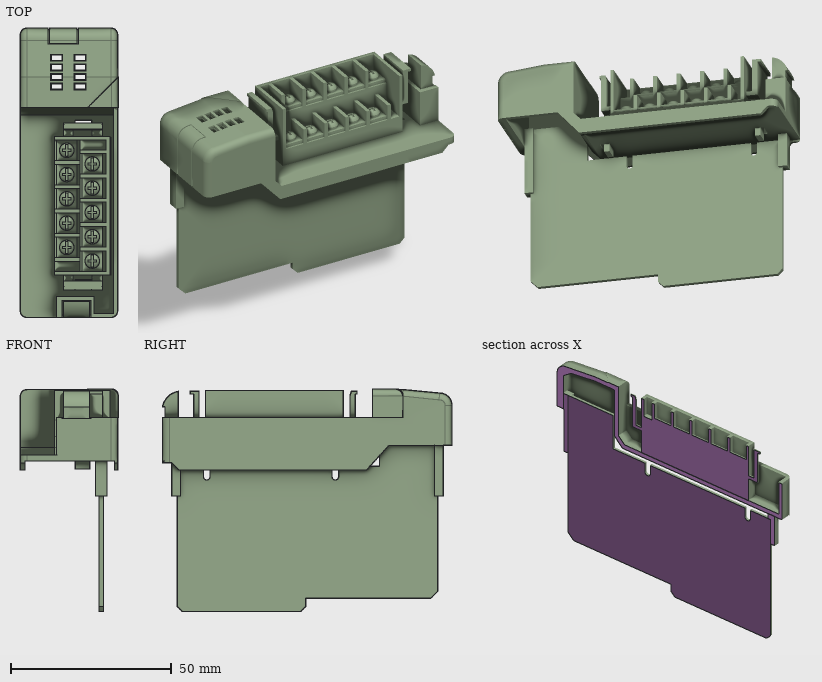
import cadquery as cq


WIDTH = 30.3
LENGTH = 90.0
CORNER_RADIUS = 2.2
FLOOR_THICKNESS = 1.8
LEFT_WALL = 1.5
RIGHT_WALL = 1.1
SKIRT_BOTTOM = -4.6
SKIRT_FRONT_BOTTOM = -2.3
SKIRT_FRONT = 2.9
SKIRT_CHAMFER = SKIRT_FRONT_BOTTOM - SKIRT_BOTTOM
SKIRT_REAR = 63.45

HOOD_FRONT = 65.25
HOOD_BOTTOM = 3.1
HOOD_SLOPE_FOOT = 70.4
HOOD_FOOT_CHAMFER = 2.3
ROOF_TOP = 20.4
ROOF_CREASE = 74.8
ROOF_REAR = 86.1
ROOF_REAR_TOP = 19.35
HOOD_REAR_RADIUS = LENGTH - ROOF_REAR
HOOD_WALL = 1.8
HOOD_REAR_WALL = 2.7

RIM_TOP = 11.8
RIM_THICKNESS = 1.35
LATCH_SEAT_LEFT = 11.3
LATCH_SEAT_RIGHT = 22.95
LATCH_SEAT_DEPTH = 6.6

WINDOW_COLUMNS = (11.3, 18.6)
WINDOW_ROWS = 4
WINDOW_PITCH = 3.0
WINDOW_FIRST_Y = ROOF_CREASE - WINDOW_PITCH
WINDOW_SIZE = (3.2, 1.6)
WINDOW_STEP = 0.3
WINDOW_STEP_Z = 19.1

TAB_LEFT = 8.7
TAB_RIGHT = 18.1
TAB_FRONT = 85.05
TAB_SIDE_GROOVE = 0.45
TAB_FRONT_GROOVE = 0.2
TAB_GROOVE_DEPTH = 0.45

PATCH_ON_ROOF = 0.2
PATCH_ON_SIDE = 0.2
PATCH_LEG = ROOF_CREASE - HOOD_FRONT

BLOCK_LEFT = 10.7
BLOCK_RIGHT = 28.0
BLOCK_FRONT = 13.3
BLOCK_REAR = 56.25
BLOCK_TOP = 20.2
BLOCK_WALL = 1.1
BLOCK_RIGHT_WALL = 1.3
ROW_SPLIT = 18.6
LOWER_DECK = 5.8
LOWER_DIVIDER_TOP = 10.9
UPPER_DECK = 13.9
TERMINALS = 5
DIVIDER = 1.2
SPARE_POCKET = 3.1
CELLS_FRONT = BLOCK_FRONT + BLOCK_WALL
CELLS_REAR = BLOCK_REAR - BLOCK_WALL
TERMINAL_PITCH = (CELLS_REAR - CELLS_FRONT - SPARE_POCKET) / TERMINALS
POCKET = TERMINAL_PITCH - DIVIDER

LEDGE_WIDTH = 0.3
LEDGE_HEIGHT = 7.9
LEDGE_SETBACK = 0.3

PLATE_THICKNESS = 1.1
LOWER_PLATE_LEFT = 11.3
UPPER_PLATE_LEFT = 19.3
PLATE_WIDTH = 6.3
SCREW_RADIUS = 2.25
SCREW_RIM = 0.8
SCREW_DOME = 1.35
SCREW_SLOT_WIDTH = 0.7
SCREW_SLOT_DEPTH = 0.8
SCREW_SHORT_SLOT = 2.7

CLIP_LEFT = 13.5
CLIP_RIGHT = 25.6
CLIP_TOP = 19.9
CLIP_LIP_HEIGHT = 0.9
CLIP_THICKNESS = 1.7
REAR_LIP_REACH = 0.5
FRONT_LIP_REACH = 1.1
CLIP_CHAMFER_WIDTH = 0.45
CLIP_CHAMFER_HEIGHT = 1.4
ARM_BOTTOM = 7.9
ARM_TOP = 9.3
ARM_NOTCH_LEFT = 16.5
ARM_NOTCH_RIGHT = 22.3
REAR_CLIP_INNER = 58.2
FRONT_CLIP_INNER = 11.4
LEG_LEFT = 17.1
LEG_RIGHT = 21.7
LEG_BOTTOM = -4.3
CLIP_SLOT_RIGHT = 22.2
CLIP_SLOT_LENGTH = 3.1
REAR_CLIP_SLOT_FRONT = REAR_CLIP_INNER
FRONT_CLIP_SLOT_FRONT = 8.6

BOARD_CENTRE_X = 25.2
BOARD_THICKNESS = 1.5
BOARD_FRONT = 4.6
BOARD_REAR = 85.6
BOARD_BOTTOM = -48.6
BOARD_REAR_BOTTOM = -44.5
BOARD_STEP_Y = 44.55
BOARD_CORNER = 1.6
BOARD_REAR_CORNER = 2.25
BOARD_TOP = -3.4
BOARD_TAB_TOP = 9.0
BOARD_TAB_FRONT = 67.4
BOARD_SLOTS = (13.8, 53.7)
BOARD_SLOT_WIDTH = 2.0
BOARD_SLOT_BOTTOM = -7.65

GUIDE_WIDTH = 3.7
GUIDE_DEPTH = 2.8
GUIDE_BOTTOM = -12.7
GUIDE_OVERHANG = 1.7

LATCH_LEFT = 13.4
LATCH_RIGHT = 21.6
LATCH_FRONT = 0.8
LATCH_REAR = 4.95
LATCH_TOP = 19.9
LATCH_LIP_BOTTOM = 15.0
LATCH_ARC_MIDDLE = (2.1, 18.5)
LATCH_GAP = 0.45
LATCH_NOTCH_DEPTH = 0.4


def box(x0, x1, y0, y1, z0, z1):
    return cq.Workplane("XY").box(x1 - x0, y1 - y0, z1 - z0, centered=False).translate((x0, y0, z0))


def side_profile(points, x0, x1):
    """Extrude a closed outline of (Y, Z) points from x0 to x1."""
    return cq.Workplane("YZ", origin=(x0, 0, 0)).polyline(points).close().extrude(x1 - x0)


def hood_profile(growth=0.0):
    """Side outline of the hood, grown outwards (or inwards, if negative) at the roof and rear end."""
    return (
        cq.Workplane("YZ")
        .moveTo(HOOD_FRONT, HOOD_BOTTOM)
        .lineTo(HOOD_FRONT, ROOF_TOP + growth)
        .lineTo(ROOF_CREASE, ROOF_TOP + growth)
        .lineTo(ROOF_REAR, ROOF_REAR_TOP + growth)
        .radiusArc((LENGTH + growth, ROOF_REAR_TOP - HOOD_REAR_RADIUS), HOOD_REAR_RADIUS + growth)
        .lineTo(LENGTH + growth, HOOD_BOTTOM)
        .close()
    )


def hood_solid(roof_growth=0.0, side_growth=0.0):
    """Hood with its roof and rear corners rounded along both sides, grown by the given amounts."""
    hood = hood_profile(roof_growth).extrude(WIDTH + side_growth)
    side_edges = hood.faces("<X or >X").edges("not (<Y or <Z)")
    return side_edges.fillet(CORNER_RADIUS)


def tray_solid():
    """Floor with its skirt, sloping up to the hood bottom at the rear."""
    return side_profile(
        [
            (0, 0),
            (HOOD_FRONT - HOOD_FOOT_CHAMFER, 0),
            (HOOD_FRONT, HOOD_FOOT_CHAMFER),
            (HOOD_FRONT, HOOD_BOTTOM),
            (HOOD_SLOPE_FOOT, HOOD_BOTTOM),
            (SKIRT_REAR, SKIRT_BOTTOM),
            (SKIRT_FRONT + SKIRT_CHAMFER, SKIRT_BOTTOM),
            (SKIRT_FRONT, SKIRT_FRONT_BOTTOM),
            (0, SKIRT_FRONT_BOTTOM),
        ],
        0,
        WIDTH,
    )


def rim_solid():
    """Right wall, front wall and the thick seat that holds the latch."""
    right_wall = box(WIDTH - RIM_THICKNESS, WIDTH, 0, HOOD_FRONT, 0, RIM_TOP)
    front_wall = box(LATCH_SEAT_LEFT, WIDTH, 0, RIM_THICKNESS, 0, RIM_TOP)
    seat = box(LATCH_SEAT_LEFT, LATCH_SEAT_RIGHT, 0, LATCH_SEAT_DEPTH, 0, RIM_TOP)
    return right_wall.union(front_wall).union(seat)


def housing_cavity():
    """Hollow under the floor and inside the hood, open at the bottom."""
    rear = LENGTH - HOOD_REAR_WALL
    return side_profile(
        [
            (0, SKIRT_BOTTOM),
            (0, -FLOOR_THICKNESS),
            (HOOD_FRONT - HOOD_FOOT_CHAMFER + HOOD_WALL / 2, -FLOOR_THICKNESS),
            (HOOD_FRONT + HOOD_WALL, HOOD_FOOT_CHAMFER - HOOD_WALL / 2),
            (HOOD_FRONT + HOOD_WALL, ROOF_TOP - HOOD_WALL),
            (ROOF_CREASE, ROOF_TOP - HOOD_WALL),
            (ROOF_REAR - HOOD_WALL, ROOF_REAR_TOP - HOOD_WALL),
            (rear, ROOF_REAR_TOP - HOOD_REAR_RADIUS),
            (rear, SKIRT_BOTTOM),
        ],
        LEFT_WALL,
        WIDTH - RIGHT_WALL,
    )


def indicator_windows():
    """Stepped openings through the hood roof."""
    centres = [
        (x, WINDOW_FIRST_Y + row * WINDOW_PITCH) for x in WINDOW_COLUMNS for row in range(WINDOW_ROWS)
    ]
    width, height = WINDOW_SIZE
    openings = cq.Workplane("XY").workplane(offset=RIM_TOP).pushPoints(centres)
    openings = openings.rect(width, height).extrude(ROOF_TOP - RIM_TOP)
    steps = cq.Workplane("XY").workplane(offset=WINDOW_STEP_Z).pushPoints(centres)
    steps = steps.rect(width + 2 * WINDOW_STEP, height + 2 * WINDOW_STEP).extrude(ROOF_TOP - WINDOW_STEP_Z)
    return openings.union(steps)


def tab_groove():
    """Shallow groove on three sides of the rear tab, following the roof and rear face."""
    outline = box(TAB_LEFT, TAB_RIGHT, TAB_FRONT, LENGTH, HOOD_BOTTOM, ROOF_TOP)
    tab = box(
        TAB_LEFT + TAB_SIDE_GROOVE,
        TAB_RIGHT - TAB_SIDE_GROOVE,
        TAB_FRONT + TAB_FRONT_GROOVE,
        LENGTH,
        HOOD_BOTTOM,
        ROOF_TOP,
    )
    core = hood_profile(-TAB_GROOVE_DEPTH).extrude(WIDTH)
    return outline.cut(tab).cut(core)


def corner_patch():
    """Thin triangular patch wrapped over the roof and right side of the hood."""
    right = WIDTH + PATCH_ON_SIDE
    triangle = (
        cq.Workplane("XY", origin=(0, 0, RIM_TOP))
        .polyline([(right - PATCH_LEG, HOOD_FRONT), (right, HOOD_FRONT), (right, ROOF_CREASE)])
        .close()
        .extrude(ROOF_TOP + PATCH_ON_ROOF - RIM_TOP)
    )
    return hood_solid(PATCH_ON_ROOF, PATCH_ON_SIDE).intersect(triangle).cut(hood_solid())


def clip_slot(front):
    return box(LEG_LEFT, CLIP_SLOT_RIGHT, front, front + CLIP_SLOT_LENGTH, -FLOOR_THICKNESS, 0)


def latch_well():
    """Well around the latch, with a shallow notch through the front wall under the latch lip."""
    left = LATCH_LEFT - LATCH_GAP
    right = LATCH_RIGHT + LATCH_GAP
    well = box(left, right, LATCH_FRONT, LATCH_REAR + LATCH_GAP, 0, RIM_TOP)
    notch = box(left, right, 0, LATCH_FRONT, RIM_TOP - LATCH_NOTCH_DEPTH, RIM_TOP)
    return well.union(notch)


def make_housing():
    footprint = box(0, WIDTH, 0, LENGTH, SKIRT_BOTTOM, RIM_TOP).edges("|Z and <Y").fillet(CORNER_RADIUS)
    housing = tray_solid().union(rim_solid()).intersect(footprint)
    housing = housing.union(hood_solid()).cut(housing_cavity())
    housing = housing.cut(indicator_windows()).cut(tab_groove()).union(corner_patch()).cut(latch_well())
    return housing.cut(clip_slot(REAR_CLIP_SLOT_FRONT)).cut(clip_slot(FRONT_CLIP_SLOT_FRONT))


def terminal_screw():
    """Domed screw head standing on Z = 0, with a cross recess."""
    height = SCREW_RIM + SCREW_DOME
    head = (
        cq.Workplane("XZ")
        .lineTo(SCREW_RADIUS, 0)
        .lineTo(SCREW_RADIUS, SCREW_RIM)
        .radiusArc((0, height), -(SCREW_RADIUS**2 + SCREW_DOME**2) / (2 * SCREW_DOME))
        .close()
        .revolve(360, (0, 0, 0), (0, 1, 0))
    )
    recess = cq.Workplane("XY").workplane(offset=height - SCREW_SLOT_DEPTH)
    long_slot = recess.rect(SCREW_SLOT_WIDTH, 2 * SCREW_RADIUS).extrude(SCREW_SLOT_DEPTH)
    short_slot = recess.rect(SCREW_SHORT_SLOT, SCREW_SLOT_WIDTH).extrude(SCREW_SLOT_DEPTH)
    return head.cut(long_slot).cut(short_slot)


def terminal(plate_left, front, deck):
    """Contact plate across one pocket, with its screw."""
    plate_top = deck + PLATE_THICKNESS
    plate = box(plate_left, plate_left + PLATE_WIDTH, front, front + POCKET, deck, plate_top)
    screw = terminal_screw().translate((plate_left + PLATE_WIDTH / 2, front + POCKET / 2, plate_top))
    return plate.union(screw)


def snap_clip(inner, outward, lip_reach):
    """Clip standing off one block end; outward is +1 at the rear end and -1 at the front end."""
    outer = inner + outward * CLIP_THICKNESS
    lip = outer + outward * lip_reach
    block_end = BLOCK_REAR if outward > 0 else BLOCK_FRONT
    lip_bottom = CLIP_TOP - CLIP_LIP_HEIGHT
    clip = side_profile(
        [
            (block_end, ARM_BOTTOM),
            (outer, ARM_BOTTOM),
            (outer, lip_bottom),
            (lip, lip_bottom),
            (lip, CLIP_TOP),
            (inner, CLIP_TOP),
            (inner, ARM_TOP),
            (block_end, ARM_TOP),
        ],
        CLIP_LEFT,
        CLIP_RIGHT,
    )
    near, far = sorted((block_end, inner))
    notch = box(ARM_NOTCH_LEFT, ARM_NOTCH_RIGHT, near, far, ARM_BOTTOM, ARM_TOP)
    near, far = sorted((inner, outer))
    leg = box(LEG_LEFT, LEG_RIGHT, near, far, LEG_BOTTOM, ARM_BOTTOM)
    return clip.cut(notch).union(leg)


def clip_chamfer():
    """Bevel on the inner top edge of the rear clip."""
    return side_profile(
        [
            (REAR_CLIP_INNER, CLIP_TOP - CLIP_CHAMFER_HEIGHT),
            (REAR_CLIP_INNER + CLIP_CHAMFER_WIDTH, CLIP_TOP),
            (REAR_CLIP_INNER, CLIP_TOP),
        ],
        CLIP_LEFT,
        CLIP_RIGHT,
    )


def make_terminal_block():
    block = box(BLOCK_LEFT, BLOCK_RIGHT, BLOCK_FRONT, BLOCK_REAR, 0, BLOCK_TOP)
    ledge_right = BLOCK_RIGHT + LEDGE_WIDTH
    ledge = box(BLOCK_RIGHT, ledge_right, BLOCK_FRONT, BLOCK_REAR - LEDGE_SETBACK, 0, LEDGE_HEIGHT)
    block = block.union(ledge)
    upper_right = BLOCK_RIGHT - BLOCK_RIGHT_WALL
    block = block.cut(box(BLOCK_LEFT, ROW_SPLIT, CELLS_FRONT, CELLS_REAR, LOWER_DECK, BLOCK_TOP))
    block = block.cut(box(ROW_SPLIT, upper_right, CELLS_FRONT, CELLS_REAR, UPPER_DECK, BLOCK_TOP))
    for i in range(TERMINALS):
        upper_front = CELLS_FRONT + i * TERMINAL_PITCH
        lower_front = CELLS_REAR - i * TERMINAL_PITCH - POCKET
        upper_end = upper_front + POCKET
        upper_divider = box(ROW_SPLIT, upper_right, upper_end, upper_end + DIVIDER, UPPER_DECK, BLOCK_TOP)
        lower_divider = box(
            BLOCK_LEFT, ROW_SPLIT, lower_front - DIVIDER, lower_front, LOWER_DECK, LOWER_DIVIDER_TOP
        )
        block = block.union(upper_divider).union(lower_divider)
        block = block.union(terminal(UPPER_PLATE_LEFT, upper_front, UPPER_DECK))
        block = block.union(terminal(LOWER_PLATE_LEFT, lower_front, LOWER_DECK))
    block = block.union(snap_clip(REAR_CLIP_INNER, 1, REAR_LIP_REACH).cut(clip_chamfer()))
    return block.union(snap_clip(FRONT_CLIP_INNER, -1, FRONT_LIP_REACH))


def make_board():
    left = BOARD_CENTRE_X - BOARD_THICKNESS / 2
    right = left + BOARD_THICKNESS
    board = side_profile(
        [
            (BOARD_FRONT, BOARD_TOP),
            (BOARD_TAB_FRONT, BOARD_TOP),
            (BOARD_TAB_FRONT, BOARD_TAB_TOP),
            (BOARD_REAR, BOARD_TAB_TOP),
            (BOARD_REAR, BOARD_REAR_BOTTOM + BOARD_REAR_CORNER),
            (BOARD_REAR - BOARD_REAR_CORNER, BOARD_REAR_BOTTOM),
            (BOARD_STEP_Y, BOARD_REAR_BOTTOM),
            (BOARD_STEP_Y, BOARD_BOTTOM + BOARD_CORNER),
            (BOARD_STEP_Y - BOARD_CORNER, BOARD_BOTTOM),
            (BOARD_FRONT + BOARD_CORNER, BOARD_BOTTOM),
            (BOARD_FRONT, BOARD_BOTTOM + BOARD_CORNER),
        ],
        left,
        right,
    )
    radius = BOARD_SLOT_WIDTH / 2
    for y in BOARD_SLOTS:
        round_end = cq.Workplane("YZ", origin=(left, y, BOARD_SLOT_BOTTOM + radius)).circle(radius)
        straight = box(left, right, y - radius, y + radius, BOARD_SLOT_BOTTOM + radius, BOARD_TOP)
        board = board.cut(straight).cut(round_end.extrude(BOARD_THICKNESS))
    return board


def make_guide(board_edge, outward, top, board):
    """Channel along one board edge; outward is +1 at the rear end and -1 at the front end."""
    outer = board_edge + outward * GUIDE_OVERHANG
    near, far = sorted((outer, outer - outward * GUIDE_DEPTH))
    left = BOARD_CENTRE_X - GUIDE_WIDTH / 2
    return box(left, left + GUIDE_WIDTH, near, far, GUIDE_BOTTOM, top).cut(board)


def make_latch():
    """Upright latch with a rounded hook overhanging the front wall."""
    return (
        cq.Workplane("YZ", origin=(LATCH_LEFT, 0, 0))
        .moveTo(LATCH_REAR, 0)
        .lineTo(LATCH_REAR, LATCH_TOP)
        .threePointArc(LATCH_ARC_MIDDLE, (0, LATCH_LIP_BOTTOM))
        .lineTo(LATCH_FRONT, LATCH_LIP_BOTTOM)
        .lineTo(LATCH_FRONT, 0)
        .close()
        .extrude(LATCH_RIGHT - LATCH_LEFT)
    )


housing = make_housing()
terminal_block = make_terminal_block()
board = make_board()
guides = [
    make_guide(BOARD_FRONT, -1, -FLOOR_THICKNESS, board),
    make_guide(BOARD_REAR, 1, BOARD_TAB_TOP, board),
]
latch = make_latch()

result = cq.Compound.makeCompound(
    [housing.val(), terminal_block.val(), board.val(), *[guide.val() for guide in guides], latch.val()]
)